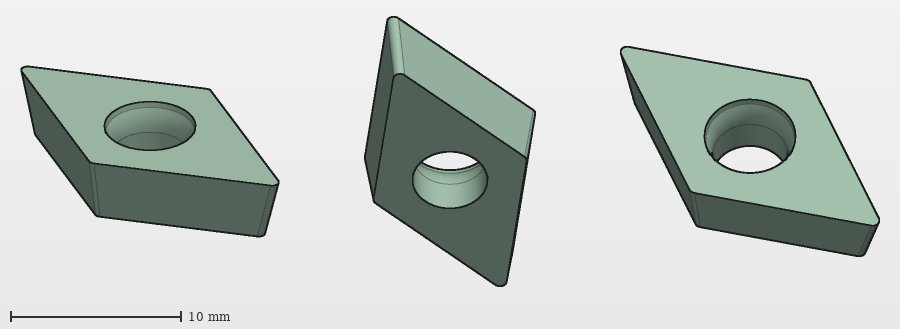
import cadquery as cq
import math

INSCRIBED_DIAMETER = 9.52
THICKNESS = 3.97
ACUTE_ANGLE = math.radians(55)
CLEARANCE_ANGLE = 7.0
NOSE_RADIUS = 0.4

HOLE_DIAMETER = 4.4
MOUTH_DIAMETER = 5.35
SEAT_DIAMETER = 5.22
SEAT_TOP_DEPTH = 0.34
SEAT_BOTTOM_DEPTH = 1.8


def rhombus_points():
    """Sharp corners of the top face, centred on the origin, two sides along X."""
    half_height = INSCRIBED_DIAMETER / 2
    half_side = half_height / math.sin(ACUTE_ANGLE)
    lean = half_height / math.tan(ACUTE_ANGLE)
    return [
        (-half_side - lean, -half_height),
        (half_side - lean, -half_height),
        (half_side + lean, half_height),
        (-half_side + lean, half_height),
    ]


def insert_body():
    """Top face at z = THICKNESS, narrowing downward, with rounded corners."""
    body = (
        cq.Workplane("XY", origin=(0, 0, THICKNESS))
        .polyline(rhombus_points())
        .close()
        .extrude(-THICKNESS, taper=CLEARANCE_ANGLE)
    )
    return body.edges("not(#Z)").fillet(NOSE_RADIUS)


def screw_hole():
    """Through hole with a conical mouth and a seat that curves smoothly into the bore."""
    bore_radius = HOLE_DIAMETER / 2
    seat_radius = SEAT_DIAMETER / 2
    seat_top = THICKNESS - SEAT_TOP_DEPTH
    seat_bottom = THICKNESS - SEAT_BOTTOM_DEPTH
    return (
        cq.Workplane("XZ")
        .lineTo(bore_radius, 0)
        .lineTo(bore_radius, seat_bottom)
        .tangentArcPoint((seat_radius, seat_top), relative=False)
        .lineTo(MOUTH_DIAMETER / 2, THICKNESS)
        .lineTo(0, THICKNESS)
        .close()
        .revolve(360, (0, 0, 0), (0, 1, 0))
    )


result = insert_body().cut(screw_hole())